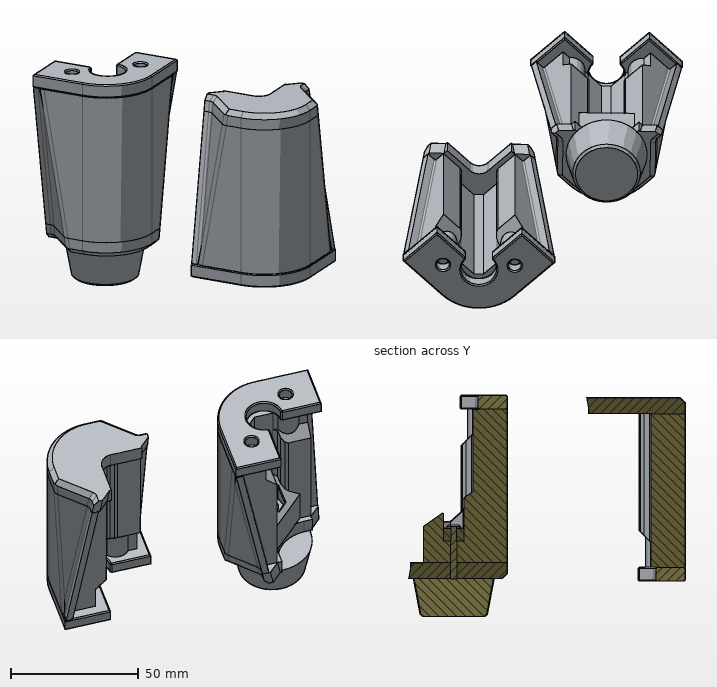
import cadquery as cq
import math

side = 42.1
total_height = 87.0
unit_pitch = 70.0
second_unit_drop = 1.0
corner_radius = 20.2

plate_thickness = 5.5
plate_leg = 18.6
plate_chamfer = 0.5
screw_hole_d = 5.0
screw_x, screw_y = 12.1, 10.1
plate_opening_d = 14.0

body_height = 60.3
body_leg = 18.2
boss_d = 11.2
head_recess_y = 13.7
head_recess_depth = 9.9
end_recess = 4.1

cap_thickness = 6.3
cap_leg = 20.2
cap_chamfer = 2.0
cap_bevel_gap = 0.6
foot_cap_fillet = 14.5
plain_cap_fillet = 5.0

pocket_start = 0.3
pocket_lean = math.tan(math.radians(10))
pocket_wall_length = 3.3
pocket_root_radius = 2.8
pocket_rim_radius = 3.3
fin_thickness = 2.7
fin_root_radius = 0.7

well_far = 28.6
well_bevel = 2.7
well_mouth = [(side - body_leg, 28.7), (24.4, 27.5), (25.9, 26.1), (28, 25.6), (well_far, 23.5)]

block_offset = 9.5
block_front_top = 35.4
axis_x = axis_y = side / 2
nut_flats = 9.0
nut_turn = 45
nut_bottom, nut_top = 29.7, 34.8
pocket_chamfer = 0.5
stud_d = 5.4
stud_top = 35.9
stud_tip_chamfer = 0.6

foot_top_r = 15.9
foot_bottom_r = 13.1
foot_edge = 0.9

body_top = total_height - plate_thickness
body_bottom = body_top - body_height
cap_bottom = body_bottom - cap_thickness
column_height = body_top - cap_bottom
clearance = 1.1
half_bend = math.radians(22.5)


def mirrored(shape):
    """The matching feature of the other leg, across the diagonal of the corner."""
    return shape.mirror(cq.Vector(1, 1, 0), (side / 2, side / 2, 0))


def cylinder(x, y, diameter, bottom, height):
    return cq.Workplane("XY", origin=(x, y, bottom)).circle(diameter / 2).extrude(height)


def corner_prism(leg, bottom, height):
    """L-shaped prism with one large rounded outer corner."""
    inner_x = side - leg
    arc_x = side - corner_radius
    diagonal = corner_radius / math.sqrt(2)
    return (
        cq.Workplane("XY", origin=(0, 0, bottom))
        .lineTo(arc_x, 0)
        .threePointArc((arc_x + diagonal, corner_radius - diagonal), (side, corner_radius))
        .lineTo(side, side)
        .lineTo(inner_x, side)
        .lineTo(inner_x, leg)
        .lineTo(0, leg)
        .close()
        .extrude(height)
    )


def leaning_prism(outline, axis):
    """Prism of a plan outline, extruded along a slanted axis."""
    return cq.Workplane(cq.Solid.extrudeLinear(outline.wires().val(), [], cq.Vector(*axis)))


def fin_y(z):
    """Y of the fin side that faces the pocket."""
    return pocket_start + (body_top - z) * pocket_lean


def pocket_outline(z):
    """Straight fin side, rounded root and a floor at 45 degrees in plan."""
    tangent = pocket_root_radius * math.tan(half_bend)
    slope = tangent / math.sqrt(2)
    return (
        cq.Workplane("XY", origin=(0, fin_y(z), z))
        .moveTo(-side, 0)
        .lineTo(pocket_wall_length - tangent, 0)
        .tangentArcPoint((pocket_wall_length + slope, -slope), relative=False)
        .lineTo(pocket_wall_length + side, -side)
        .lineTo(-side, -side)
        .close()
    )


def corner_pocket():
    return leaning_prism(pocket_outline(body_top), (0, column_height * pocket_lean, -column_height))


def pocket_chamfer_tool():
    """Continues the cap chamfer along the pocket, equally deep on the fin side and the floor."""
    floor_shift = cap_chamfer * (math.sqrt(2) - 1)
    outline = pocket_outline(cap_bottom + cap_chamfer)
    return leaning_prism(outline, (floor_shift, cap_chamfer, -cap_chamfer))


def pocket_rim():
    """Sliver that rounds the edge between the pocket floor and the outer face."""
    edge_x = pocket_wall_length + pocket_start
    tangent = pocket_rim_radius * math.tan(half_bend)
    slope = tangent / math.sqrt(2)
    arc_middle = (
        edge_x + tangent - pocket_rim_radius * math.sin(half_bend),
        pocket_rim_radius * (1 - math.cos(half_bend)),
    )
    outline = (
        cq.Workplane("XY", origin=(0, 0, body_top))
        .moveTo(edge_x + tangent, 0)
        .threePointArc(arc_middle, (edge_x - slope, slope))
        .lineTo(edge_x - slope, -slope)
        .lineTo(edge_x + tangent, -slope)
        .close()
    )
    return leaning_prism(outline, (column_height * pocket_lean, 0, -column_height))


def column():
    """Body and cap as one piece, with both corner pockets and the cap chamfer."""
    solid = corner_prism(cap_leg, cap_bottom, column_height)
    solid = solid.faces("<Z").edges("<Y or >X or %CIRCLE").chamfer(cap_chamfer)
    for tool in (corner_pocket(), pocket_chamfer_tool(), pocket_rim()):
        solid = solid.cut(tool).cut(mirrored(tool))
    return solid


def end_recess_tool():
    """Sets the leg end of the body back behind the fin, with a rounded root."""
    outline = (
        cq.Workplane("XY", origin=(0, fin_y(body_top) + fin_thickness, body_top))
        .moveTo(-clearance, 0)
        .lineTo(end_recess - fin_root_radius, 0)
        .tangentArcPoint((fin_root_radius, fin_root_radius))
        .lineTo(end_recess, side)
        .lineTo(-clearance, side)
        .close()
    )
    return leaning_prism(outline, (0, body_height * pocket_lean, -body_height))


def head_recess_tool():
    """Recess under the plate with a 45 degree lower slope, around a round screw boss."""
    floor = body_top - head_recess_depth
    open_y = body_leg + clearance
    recess = (
        cq.Workplane("YZ")
        .moveTo(head_recess_y, body_top)
        .lineTo(head_recess_y, floor)
        .lineTo(open_y, floor - (open_y - head_recess_y))
        .lineTo(open_y, body_top)
        .close()
        .extrude(side - body_leg)
    )
    return recess.cut(cylinder(screw_x, screw_y, boss_d, body_bottom, body_height))


def well():
    """Bevelled well in the inner corner, symmetric about the diagonal."""
    half = well_mouth + [(well_far, side - well_far + well_bevel)]
    other_half = [(side - y, side - x) for x, y in reversed(half)]
    open_corner = (side - body_leg - clearance, body_leg + clearance)
    return (
        cq.Workplane("XY", origin=(0, 0, body_bottom))
        .polyline(half + other_half + [open_corner])
        .close()
        .extrude(body_height)
    )


def plain_body():
    solid = column().intersect(corner_prism(body_leg, body_bottom, body_height))
    for tool in (end_recess_tool(), head_recess_tool()):
        solid = solid.cut(tool).cut(mirrored(tool))
    return solid.cut(well())


def hexagon(height):
    """Hexagonal prism standing on the level of the nut's lower face."""
    across_corners = nut_flats / math.cos(math.radians(30))
    return (
        cq.Workplane("XY")
        .polygon(6, across_corners)
        .extrude(height)
        .rotate((0, 0, 0), (0, 0, 1), nut_turn)
        .translate((axis_x, axis_y, nut_bottom))
    )


def stud_hole():
    return cylinder(axis_x, axis_y, stud_d, cap_bottom, side)


def sloped_block():
    """Block in the inner corner with a 45 degree top, rising toward the outer corner."""
    inner_x = side - body_leg
    front_middle = ((side - block_offset) / 2, (side + block_offset) / 2, 0)
    wedge = (
        cq.Workplane(cq.Plane(origin=front_middle, xDir=(1, -1, 0), normal=(-1, -1, 0)))
        .moveTo(0, body_bottom)
        .lineTo(0, block_front_top)
        .lineTo(side, block_front_top + side)
        .lineTo(side, body_bottom)
        .close()
        .extrude(side, both=True)
    )
    corner = (
        cq.Workplane("XY", origin=(0, 0, body_bottom))
        .moveTo(inner_x, inner_x + block_offset)
        .lineTo(inner_x, body_leg)
        .lineTo(body_leg - block_offset, body_leg)
        .close()
        .extrude(body_height)
    )
    return corner.union(well()).intersect(wedge)


def nut_block():
    """Sloped block with a chamfered hexagonal nut pocket."""
    block = sloped_block().cut(hexagon(side))
    up_slope = cq.Vector(-1, 1, math.sqrt(2))
    sloped_top = block.faces(cq.selectors.DirectionMinMaxSelector(up_slope, True)).val()
    pocket_mouth = sloped_top.innerWires()[0].Edges()
    return block.newObject(pocket_mouth).chamfer(pocket_chamfer)


def nut_body():
    return plain_body().union(nut_block()).cut(stud_hole())


def cap_bevel_tool():
    """Bevels the cap's leg end behind the fin, leaning with the fin."""
    bevel_start = fin_y(body_bottom) + fin_thickness + cap_bevel_gap
    outline = (
        cq.Workplane("XY", origin=(0, bevel_start, body_bottom))
        .lineTo(end_recess, end_recess)
        .lineTo(end_recess, side)
        .lineTo(0, side)
        .close()
    )
    return leaning_prism(outline, (0, cap_thickness * pocket_lean, -cap_thickness))


def plain_cap(inner_fillet=plain_cap_fillet):
    solid = column().intersect(corner_prism(cap_leg, cap_bottom, cap_thickness))
    inner_edge = (side - cap_leg, cap_leg, cap_bottom + cap_thickness / 2)
    solid = solid.edges(cq.selectors.NearestToPointSelector(inner_edge)).fillet(inner_fillet)
    bevel = cap_bevel_tool()
    return solid.cut(bevel).cut(mirrored(bevel))


def foot_cap():
    return plain_cap(foot_cap_fillet).cut(stud_hole())


def plate():
    solid = corner_prism(plate_leg, body_top, plate_thickness)
    opening = cylinder(side - plate_leg, plate_leg, plate_opening_d, body_top, plate_thickness)
    screw_hole = cylinder(screw_x, screw_y, screw_hole_d, body_top, plate_thickness)
    solid = solid.cut(opening).cut(screw_hole).cut(mirrored(screw_hole))

    middle_z = body_top + plate_thickness / 2
    mouth_reach = plate_opening_d / 2
    for corner in (
        (side - plate_leg - mouth_reach, plate_leg, middle_z),
        (side - plate_leg, plate_leg + mouth_reach, middle_z),
    ):
        solid = solid.edges(cq.selectors.NearestToPointSelector(corner)).chamfer(plate_chamfer)
    return solid.faces(">Z or <Z").chamfer(plate_chamfer)


def nut():
    return hexagon(nut_top - nut_bottom).cut(stud_hole())


def stud():
    rod = cylinder(axis_x, axis_y, stud_d, cap_bottom, stud_top - cap_bottom)
    return rod.faces(">Z").chamfer(stud_tip_chamfer)


def foot():
    """Tapered foot under the cap."""
    cone = (
        cq.Workplane("XZ")
        .lineTo(foot_bottom_r, 0)
        .lineTo(foot_top_r, cap_bottom)
        .lineTo(0, cap_bottom)
        .close()
        .revolve(360, (0, 0, 0), (0, 1, 0))
        .translate((axis_x, axis_y, 0))
    )
    return cone.faces("<Z").chamfer(foot_edge)


def in_second_unit(solid):
    """Turns a part upside down about the diagonal of the corner and moves it to the other unit."""
    centre = (side / 2, side / 2, (cap_bottom + total_height) / 2)
    along_diagonal = (centre[0] + 1.1, centre[1] - 1.1, centre[2])
    turned = solid.rotate(centre, along_diagonal, 180)
    return turned.translate((unit_pitch, 0, -second_unit_drop))


first_unit = [plate(), nut_body(), foot_cap(), foot(), stud(), nut()]
second_unit = [in_second_unit(part) for part in (plate(), plain_body(), plain_cap())]

result = cq.Compound.makeCompound([part.solids().val() for part in first_unit + second_unit])